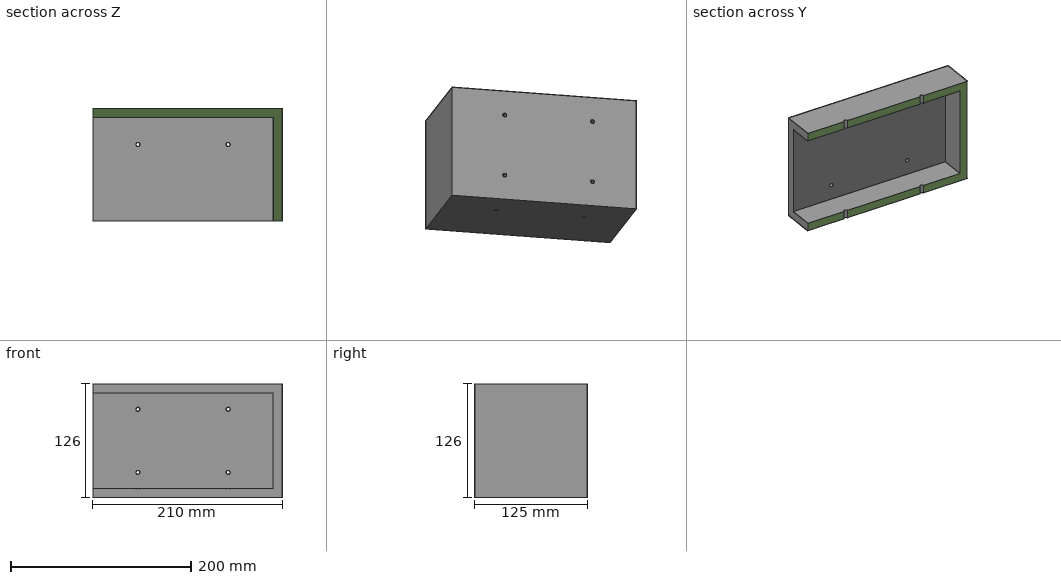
import cadquery as cq

length = 210.0
depth = 125.0
height = 126.0
wall = 10.0

hole_diameter = 4.2
hole_spacing_x = 100.0
first_hole_x = 50.0
back_hole_spacing_z = 70.0
shelf_hole_from_back = 40.0

hole_xs = [first_hole_x, first_hole_x + hole_spacing_x]
back_hole_zs = [(height + side * back_hole_spacing_z) / 2 for side in (-1, 1)]


def open_box():
    """Top, bottom, back and one end panel around an open cavity."""
    outer = cq.Workplane("XY").box(length, depth, height, centered=False)
    cavity = (
        cq.Workplane("XY")
        .box(length - wall, depth - wall, height - 2 * wall, centered=False)
        .translate((0, 0, wall))
    )
    return outer.cut(cavity)


def shelf_holes():
    """Vertical holes through both the bottom and top panels."""
    points = [(x, depth - shelf_hole_from_back) for x in hole_xs]
    return cq.Workplane("XY").pushPoints(points).circle(hole_diameter / 2).extrude(height)


def back_holes():
    """Horizontal holes through the back panel."""
    points = [(x, z) for x in hole_xs for z in back_hole_zs]
    return cq.Workplane("XZ").pushPoints(points).circle(hole_diameter / 2).extrude(-depth)


result = open_box().cut(shelf_holes()).cut(back_holes())